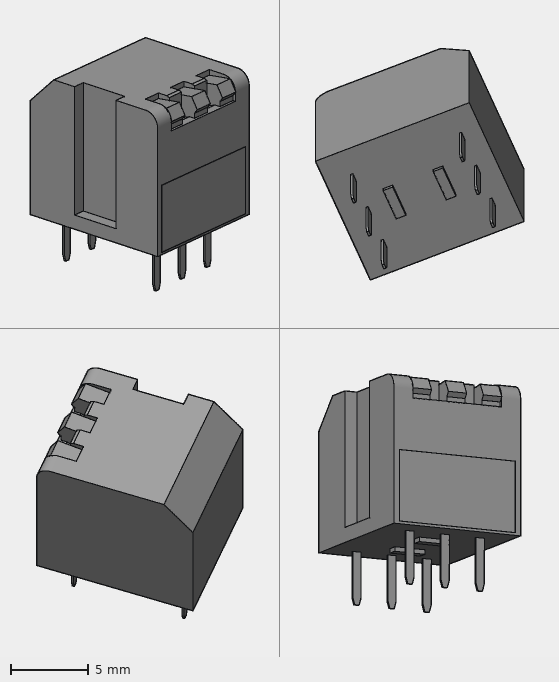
import cadquery as cq

overall_length = 10.81
overall_height = 13.5

housing_length = 10.79
housing_width = 9.18
housing_height = 10.0
entry_chamfer = 2.0
edge_radius = 1.0

pad_height = overall_length - housing_length
pad_width = 8.37
pad_bottom_z = 0.18
pad_top_z = 4.89

side_slot_width = 3.5
side_slot_center_x = 5.51
side_slot_depth = 0.88
side_slot_floor_z = 1.0

pole_pitch = 2.54
pole_positions = [-pole_pitch, 0, pole_pitch]
gap_positions = [-pole_pitch / 2, pole_pitch / 2]

tongue_width = 1.32
tongue_root_x = 8.57
tongue_root_z = housing_height - 0.39
tongue_peak_x = 10.34
tongue_peak_z = housing_height - 0.16
tongue_tip_x = overall_length
tongue_tip_z = housing_height - 0.96
tongue_neck_x = 10.58
tongue_neck_z = housing_height - 1.27

ledge_z = housing_height - 1.62
notch_start_x = 9.26
notch_lip_x = 9.48
notch_lip_drop = 0.08
notch_foot_x = 10.17
notch_foot_rise = 0.25

standoff_length = 0.68
standoff_width = 2.19
standoff_height = 0.3
standoff_positions = [3.66, 7.17]

pin_length = overall_height - housing_height
pin_thickness = 0.15
pin_width = 0.6
pin_tip_width = 0.32
pin_tip_length = 0.47
pin_row_positions = [1.35, 8.96]


def extrude_along_y(outline, width, center_y):
    """Extrude an outline of (x, z) points symmetrically about a Y position."""
    plane = cq.Workplane("XZ", origin=(0, center_y, 0))
    return plane.polyline(outline).close().extrude(width / 2, both=True)


def make_block():
    """Plain block with one bevelled and one rounded top edge."""
    block = cq.Workplane("XY").box(
        housing_length, housing_width, housing_height, centered=(False, True, False)
    )
    block = block.edges("<X and >Z").chamfer(entry_chamfer)
    return block.edges(">X and >Z").fillet(edge_radius)


def make_side_slot():
    """Wide shallow slot in the -Y side that stops short of the underside."""
    return cq.Workplane("XY").box(
        side_slot_width, side_slot_depth, housing_height - side_slot_floor_z,
        centered=(True, False, False),
    ).translate((side_slot_center_x, -housing_width / 2, side_slot_floor_z))


def make_tongue_pocket(center_y):
    """Clearance that receives one tongue, open at the top and on the +X face."""
    outline = [
        (tongue_root_x, housing_height),
        (tongue_root_x, ledge_z),
        (housing_length, ledge_z),
        (housing_length, housing_height),
    ]
    return extrude_along_y(outline, tongue_width, center_y)


def make_tongue(center_y):
    """Tongue that rises to a ridge, drops steeply to a nose and is undercut below it."""
    outline = [
        (tongue_root_x, ledge_z),
        (tongue_root_x, tongue_root_z),
        (tongue_peak_x, tongue_peak_z),
        (tongue_tip_x, tongue_tip_z),
        (tongue_neck_x, tongue_neck_z),
        (tongue_neck_x, ledge_z),
    ]
    return extrude_along_y(outline, tongue_width, center_y)


def make_notch(center_y):
    """Space between two tongues: a bevelled lip, a drop, a rising floor and a flat ledge."""
    outline = [
        (notch_start_x, housing_height),
        (notch_lip_x, housing_height - notch_lip_drop),
        (notch_lip_x, ledge_z - notch_foot_rise),
        (notch_foot_x, ledge_z),
        (housing_length, ledge_z),
        (housing_length, housing_height),
    ]
    return extrude_along_y(outline, pole_pitch - tongue_width, center_y)


def make_pad():
    """Thin pad standing proud of the +X face."""
    return cq.Workplane("XY").box(
        pad_height, pad_width, pad_top_z - pad_bottom_z, centered=(False, True, False)
    ).translate((housing_length, 0, pad_bottom_z))


def make_standoff(center_x):
    """Bar that keeps the underside clear of the board."""
    return cq.Workplane("XY").box(
        standoff_length, standoff_width, standoff_height, centered=(True, True, False)
    ).translate((center_x, 0, -standoff_height))


def make_housing():
    """Complete housing with its tongues, notches, pad and standoffs as one solid."""
    body = make_block().cut(make_side_slot()).union(make_pad())
    for y in pole_positions:
        body = body.cut(make_tongue_pocket(y)).union(make_tongue(y))
    for y in gap_positions:
        body = body.cut(make_notch(y))
    for x in standoff_positions:
        body = body.union(make_standoff(x))
    return body


def make_pin(center_x, center_y):
    """Flat pin hanging from the underside, tapered at its tip."""
    taper_start_z = pin_tip_length - pin_length
    outline = [
        (-pin_width / 2, 0),
        (pin_width / 2, 0),
        (pin_width / 2, taper_start_z),
        (pin_tip_width / 2, -pin_length),
        (-pin_tip_width / 2, -pin_length),
        (-pin_width / 2, taper_start_z),
    ]
    pin = cq.Workplane("YZ").polyline(outline).close().extrude(pin_thickness / 2, both=True)
    return pin.translate((center_x, center_y, 0))


housing = make_housing()
pins = [make_pin(x, y) for x in pin_row_positions for y in pole_positions]

result = cq.Compound.makeCompound([housing.val(), *[pin.val() for pin in pins]])